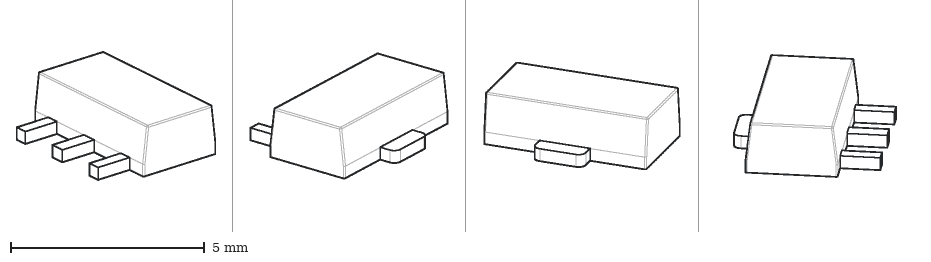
import cadquery as cq

body_length = 4.5
body_width = 2.395
body_height = 1.4
taper_inset = 0.125
edge_radius = 0.04

metal_thickness = 0.35
lead_pitch = 1.5
lead_reach = 1.045
outer_lead_width = 0.36
middle_lead_width = 0.42
tab_width = 1.4
tab_reach = 0.505
tab_corner_radius = 0.2

front_y = -body_width / 2
back_y = body_width / 2


def make_body():
    """Moulded body: straight lower band, front and back leaning inward above it."""
    profile = [
        (front_y, 0),
        (back_y, 0),
        (back_y, metal_thickness),
        (back_y - taper_inset, body_height),
        (front_y + taper_inset, body_height),
        (front_y, metal_thickness),
    ]
    body = cq.Workplane("YZ").polyline(profile).close().extrude(body_length / 2, both=True)
    end_edges = body.faces("<X or >X").edges("not <Z")
    top_edges = body.faces(">Z").edges("|X")
    return body.newObject(end_edges.vals() + top_edges.vals()).fillet(edge_radius)


def make_lead(center_x, width):
    """Flat lead running from the middle of the body out past its front face."""
    length = lead_reach - front_y
    return (
        cq.Workplane("XY")
        .box(width, length, metal_thickness, centered=(True, False, False))
        .translate((center_x, front_y - lead_reach, 0))
    )


def make_tab():
    """Flat tab running from the middle of the body out past its back face."""
    return (
        cq.Workplane("XY")
        .box(tab_width, back_y + tab_reach, metal_thickness, centered=(True, False, False))
        .edges("|Z and >Y")
        .fillet(tab_corner_radius)
    )


result = make_body().union(make_tab())
for center_x, width in (
    (-lead_pitch, outer_lead_width),
    (0, middle_lead_width),
    (lead_pitch, outer_lead_width),
):
    result = result.union(make_lead(center_x, width))